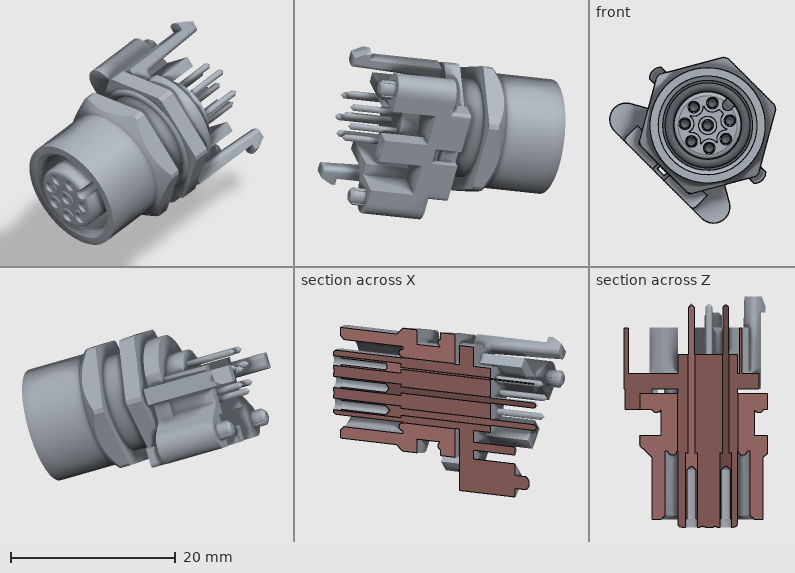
import cadquery as cq
import math

KEY_TURN = 45.0

board_face = 0.0
plate_rear = -5.55
plate_front = -7.5
flange_rear = -8.0
flange_front = -10.0
nut_rear = -13.05
nut_front = -15.8
shell_front = -23.35
insert_front = -24.28
insert_rear = -3.27
latch_tip = 3.72
hook_seat = 1.78

shell_radius = 7.0
tube_radius = 6.0
bore_mouth_radius = 6.0
bore_radius = 10.92 / 2
bore_lead = 0.5
bore_floor = -15.0
hex_flats = 15.0
hex_corner_radius = 8.5
outer_seal_radius = 6.5
outer_seal_section = 0.55
outer_seal_y = -9.8
inner_seal_radius = 4.65
inner_seal_section = 0.52

insert_radius = 8.15 / 2
insert_edge_radius = 0.5
face_recess_radius = 2.37
face_recess_depth = 0.1
collar_radius = 2.2 / 2
key_slot_radius = 0.65
key_slot_height = 3.45
key_slot_depth = 6.0

ear_side = 7.5
ear_height = -6.49
ear_radius = 2.0
ear_slope = 30.0
carrier_bottom = ear_height - ear_radius
plate_radius = 6.5
plate_half_width = 6.0
wall_outer = 5.35
wall_inner = 4.0
wall_top = 1.7
foot_half_width = 1.45
notch_side = 5.5
notch_top = -4.5
plate_corner_radius = 0.2
ear_corner_radius = 0.4
tongue_top = -6.05
tongue_corner = 0.5
slot_half_width = 1.0
slot_top = -7.55
slot_rear = -6.7
pocket_half_width = 2.6
window_half_width = 0.57
window_bottom = -8.05
window_top = -7.6

post_radius = 1.0
post_rib_radius = 2.2 / 2
post_rib_width = 0.36
post_ribs = 3
post_rib_angle = 75.0
post_length = 1.8
post_chamfer = 0.35

arm_half_width = 1.0
arm_outer = 8.25
arm_tip_inner = 7.0
arm_root_inner = 6.65
arm_edge_radius = 0.6
arm_root_radius = 0.6
hook_side = 9.0
hook_crown = 9.4
hook_tip = 8.35

contact_circle_radius = 2.77
contact_pitch = 49.0
ring_contacts = 7
tail_radius = 0.4
tail_tip = 2.94
tail_point = 0.45
socket_radius = 0.7
socket_bore_radius = 0.55
socket_setback = 1.0
socket_length = 8.0
socket_depth = 6.0

socket_front = insert_front + socket_setback
socket_rear = socket_front + socket_length


def section(y):
    """Workplane across the connector axis at y; extruding it runs towards the mating face."""
    return cq.Workplane("XZ", origin=(0, y, 0))


def rod(radius, rear, front, at=(0, 0)):
    return section(rear).center(*at).circle(radius).extrude(rear - front)


def block(left, right, bottom, top, rear, front):
    outline = section(rear).moveTo(left, bottom).lineTo(right, bottom).lineTo(right, top).lineTo(left, top)
    return outline.close().extrude(rear - front)


def cone(front_radius, rear_radius, front, rear):
    """Truncated cone on the connector axis."""
    return cq.Workplane(
        cq.Solid.makeCone(front_radius, rear_radius, rear - front, cq.Vector(0, front, 0), cq.Vector(0, 1, 0))
    )


def ring(radius, thickness_radius, y):
    return cq.Workplane(
        cq.Solid.makeTorus(radius, thickness_radius, cq.Vector(0, y, 0), cq.Vector(0, 1, 0))
    )


def hexagon(rear, front):
    """Sharp hexagonal prism, flat side up."""
    across_corners = hex_flats / math.cos(math.radians(30))
    return section(rear).polygon(6, across_corners).extrude(rear - front)


def hex_collar(rear, front):
    """Hexagon with its corners turned down to a cylinder."""
    return hexagon(rear, front).intersect(rod(hex_corner_radius, rear, front))


def contact_places():
    """Centre contact and the ring contacts, which leave their wide gap around the key."""
    places = [(0, 0)]
    wide_gap = 360 - (ring_contacts - 1) * contact_pitch
    for index in range(ring_contacts):
        angle = math.radians(90 + wide_gap / 2 + index * contact_pitch)
        places.append((contact_circle_radius * math.cos(angle), contact_circle_radius * math.sin(angle)))
    return places


def make_shell():
    seal = ring(outer_seal_radius, outer_seal_section, outer_seal_y)
    flange = hex_collar(flange_rear, flange_front).union(seal)
    tube = rod(tube_radius, flange_front, nut_rear)
    bevel = cone(shell_radius, shell_radius + nut_rear - nut_front, nut_front, nut_rear)
    nut = hex_collar(nut_rear, nut_front).intersect(bevel)
    barrel = rod(shell_radius, nut_front, shell_front)
    body = flange.union(tube).union(nut).union(barrel)
    body = body.cut(rod(bore_radius, bore_floor, shell_front))
    body = body.cut(cone(bore_mouth_radius, bore_radius, shell_front, shell_front + bore_lead))
    body = body.union(ring(inner_seal_radius, inner_seal_section, bore_floor))
    return body.cut(rod(insert_radius, flange_rear, shell_front))


def make_insert():
    insert = rod(insert_radius, insert_rear, insert_front).faces("<Y").edges().fillet(insert_edge_radius)
    recess = rod(face_recess_radius, insert_front + face_recess_depth, insert_front)
    for place in contact_places():
        recess = recess.cut(rod(collar_radius, insert_front + face_recess_depth, insert_front, place))
    insert = insert.cut(recess)
    slot_floor = insert_front + key_slot_depth
    key_slot = rod(key_slot_radius, slot_floor, insert_front, (0, key_slot_height)).union(
        block(-key_slot_radius, key_slot_radius, key_slot_height, insert_radius, slot_floor, insert_front)
    )
    return insert.cut(key_slot)


def make_ear(side):
    """Lobe beside the insert; a sloped flank leads from its round end up to the chamber wall."""
    slope = math.radians(ear_slope)
    flank_x = ear_side + ear_radius * math.sin(slope)
    flank_z = ear_height + ear_radius * math.cos(slope)
    middle = math.radians(-ear_slope / 2)
    flank_rise = (flank_x - wall_inner) * math.tan(slope)
    return (
        section(board_face)
        .moveTo(side * wall_inner, carrier_bottom)
        .lineTo(side * ear_side, carrier_bottom)
        .threePointArc(
            (side * (ear_side + ear_radius * math.cos(middle)), ear_height + ear_radius * math.sin(middle)),
            (side * flank_x, flank_z),
        )
        .lineTo(side * wall_inner, flank_z + flank_rise)
        .close()
        .extrude(board_face - plate_front)
    )


def make_post(side):
    """Chamfered locating post with crush ribs."""
    post = rod(post_radius, board_face + post_length, board_face, (side * ear_side, ear_height))
    post = post.faces(">Y").chamfer(post_chamfer)
    rib_end = board_face + post_length - post_chamfer
    rib = block(0, post_rib_radius, -post_rib_width / 2, post_rib_width / 2, rib_end, board_face)
    for index in range(post_ribs):
        angle = post_rib_angle + index * 360 / post_ribs
        turned_rib = rib.rotate((0, 0, 0), (0, 1, 0), -angle)
        post = post.union(turned_rib.translate((side * ear_side, 0, ear_height)))
    return post


def make_arm(side):
    """Latch arm with a rounded inner face and an outward hook with a lead-in ramp."""
    profile_plane = cq.Workplane("XY", origin=(0, 0, -arm_half_width))
    root_end = (side * arm_root_inner, plate_rear + arm_root_radius)
    root_sag = arm_root_radius * (1 - math.cos(math.radians(45)))
    arm = (
        profile_plane.moveTo(side * (arm_root_inner - arm_root_radius), plate_rear)
        .threePointArc((side * (arm_root_inner - root_sag), plate_rear + root_sag), root_end)
        .lineTo(side * arm_tip_inner, latch_tip)
        .lineTo(side * arm_outer, latch_tip)
        .lineTo(side * arm_outer, plate_rear)
        .close()
        .extrude(2 * arm_half_width)
    )
    middle_x = side * (arm_root_inner + arm_tip_inner) / 2
    middle_y = (plate_rear + arm_root_radius + latch_tip) / 2
    for z in (-arm_half_width, arm_half_width):
        arm = arm.edges(cq.NearestToPointSelector((middle_x, middle_y, z))).fillet(arm_edge_radius)
    hook = (
        section(latch_tip)
        .moveTo(side * arm_outer, -arm_half_width)
        .lineTo(side * hook_side, -arm_half_width)
        .threePointArc((side * hook_crown, 0), (side * hook_side, arm_half_width))
        .lineTo(side * arm_outer, arm_half_width)
        .close()
        .extrude(latch_tip - hook_seat)
    )
    ramp = (
        profile_plane.moveTo(side * hook_tip, latch_tip)
        .lineTo(side * hook_crown, hook_seat)
        .lineTo(side * hook_crown, latch_tip)
        .close()
        .extrude(2 * arm_half_width)
    )
    left, right = sorted((side * wall_outer, side * arm_outer))
    root = block(left, right, -arm_half_width, arm_half_width, plate_rear, plate_front)
    return arm.union(hook.cut(ramp)).union(root)


def make_housing():
    """Insert and board carrier moulded in one piece."""
    disc = rod(plate_radius, plate_rear, plate_front)
    skirt = block(-plate_half_width, plate_half_width, carrier_bottom, 0, plate_rear, plate_front)
    trim = block(-plate_half_width, plate_half_width, carrier_bottom, plate_radius, plate_rear, plate_front)
    body = disc.union(skirt).intersect(trim)

    body = body.union(block(-wall_outer, wall_outer, carrier_bottom, wall_top, board_face, plate_rear))
    for side in (-1, 1):
        body = body.union(make_ear(side))
    body = body.cut(block(-wall_inner, wall_inner, ear_height, wall_top, board_face, plate_rear))
    for side in (-1, 1):
        left, right = sorted((side * foot_half_width, side * notch_side))
        body = body.cut(block(left, right, carrier_bottom, ear_height, board_face, plate_rear))
        left, right = sorted((side * wall_inner, side * notch_side))
        body = body.cut(block(left, right, carrier_bottom, notch_top, board_face, plate_rear))

    tongue = block(
        -plate_half_width, plate_half_width, carrier_bottom, tongue_top, plate_front, flange_front
    )
    tongue = tongue.edges("|Y and <Z").fillet(tongue_corner)
    pocket = block(-pocket_half_width, pocket_half_width, slot_top, tongue_top, plate_front, flange_front)
    body = body.union(tongue.cut(hexagon(flange_rear, flange_front)).cut(pocket))

    for side in (-1, 1):
        body = body.union(make_post(side)).union(make_arm(side))

    flank_z = ear_height + (ear_side - plate_half_width) * math.tan(math.radians(ear_slope))
    flank_z += ear_radius / math.cos(math.radians(ear_slope))
    middle_y = (plate_rear + plate_front) / 2
    for side in (-1, 1):
        for z, radius in (
            (flank_z, ear_corner_radius),
            (-arm_half_width, plate_corner_radius),
            (arm_half_width, plate_corner_radius),
        ):
            corner = cq.NearestToPointSelector((side * plate_half_width, middle_y, z))
            body = body.edges("|Y").edges(corner).fillet(radius)

    body = body.cut(
        block(-slot_half_width, slot_half_width, carrier_bottom, slot_top, slot_rear, flange_front)
    )
    body = body.cut(
        block(-window_half_width, window_half_width, window_bottom, window_top, board_face, flange_front)
    )

    body = body.union(make_insert())
    for place in contact_places():
        body = body.cut(rod(tail_radius, insert_rear, socket_rear, place))
        body = body.cut(rod(socket_radius, socket_rear, insert_front, place))
    return body


def make_contact(place):
    """Pointed solder tail behind, drilled socket in front."""
    bore_end = socket_front + socket_depth
    profile = (
        cq.Workplane("XY")
        .moveTo(socket_bore_radius, socket_front)
        .lineTo(socket_radius, socket_front)
        .lineTo(socket_radius, socket_rear)
        .lineTo(tail_radius, socket_rear)
        .lineTo(tail_radius, tail_tip - tail_point)
        .lineTo(0, tail_tip)
        .lineTo(0, bore_end + socket_bore_radius)
        .lineTo(socket_bore_radius, bore_end)
        .close()
    )
    return profile.revolve(360, (0, 0, 0), (0, 1, 0)).translate((place[0], 0, place[1]))


def turned(body):
    return body.rotate((0, 0, 0), (0, 1, 0), KEY_TURN)


shell = turned(make_shell())
housing = turned(make_housing())
contacts = [turned(make_contact(place)) for place in contact_places()]

result = cq.Compound.makeCompound(
    [shell.val(), housing.val(), *[contact.val() for contact in contacts]]
)